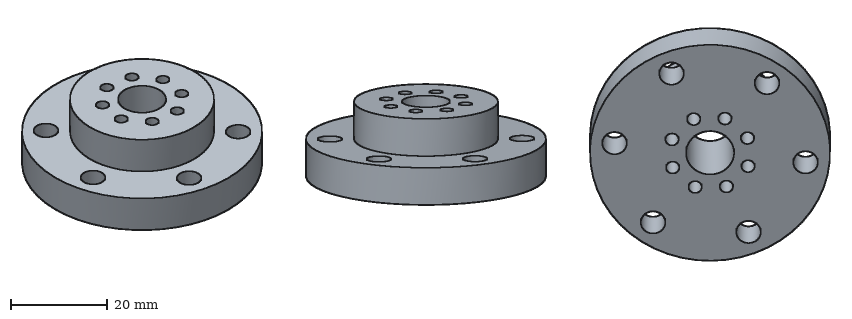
import cadquery as cq

flange_diameter = 50
flange_thickness = 8
hub_diameter = 30
hub_height = 8
total_height = flange_thickness + hub_height

bore_diameter = 10
hub_hole_count = 8
hub_hole_diameter = 2.75
hub_hole_circle_radius = 8.5
flange_hole_count = 6
flange_hole_diameter = 5.1
flange_hole_circle_radius = 20
first_hole_angle = 90


def hole_ring(circle_radius, hole_diameter, count):
    """Full-height cutters evenly spaced on a circle, the first one on +Y."""
    return (
        cq.Workplane("XY")
        .polarArray(circle_radius, first_hole_angle, 360, count)
        .circle(hole_diameter / 2)
        .extrude(total_height)
    )


flange = cq.Workplane("XY").circle(flange_diameter / 2).extrude(flange_thickness)
hub = cq.Workplane("XY").circle(hub_diameter / 2).extrude(total_height)
bore = cq.Workplane("XY").circle(bore_diameter / 2).extrude(total_height)

result = (
    flange.union(hub)
    .cut(bore)
    .cut(hole_ring(hub_hole_circle_radius, hub_hole_diameter, hub_hole_count))
    .cut(hole_ring(flange_hole_circle_radius, flange_hole_diameter, flange_hole_count))
)